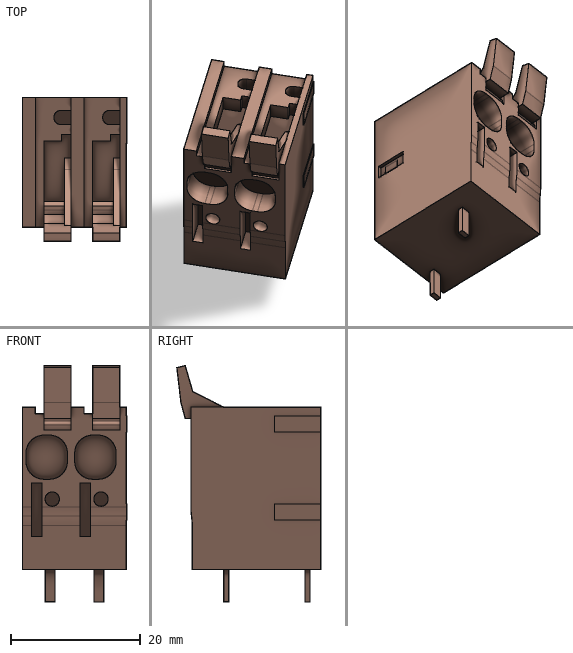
import cadquery as cq
import math


pole_count = 2
pole_pitch = 7.5
housing_width = 16.0
housing_depth = 20.0
housing_height = 25.0

setback = 0.2
step_top = 9.65
step_bottom = 6.8

groove_left = 2.0
groove_right = 7.5
groove_floor = 24.0

pocket_left = 3.3
pocket_floor = 21.5
pocket_back = 13.3
notch_left = 6.05
notch_back = 14.25

test_slot_left = 4.85
test_slot_width = 2.2
test_slot_y = 16.9
test_slot_depth = 4.0

opening_depth = 4.0
wire_hole_x = 3.75
wire_hole_z = 17.3
wire_hole_width = 6.4
wire_hole_height = 6.8
wire_hole_corner = 2.8
round_hole_x = 4.6
round_hole_z = 10.85
round_hole_diameter = 2.2
release_slot_left = 1.4
release_slot_width = 1.6
release_slot_bottom = 5.1
release_slot_height = 8.25

recess_depth = 0.5
recess_front = 14.1
recess_length = 5.05
recess_bottom = 12.6
recess_height = 2.4
catch_front = 15.75
catch_length = 2.4
catch_bottom = 13.05
catch_height = 1.5

pad_thickness = 0.13
pad_front = 12.9
pad_height = 2.5
pad_bottoms = (7.6, 21.15)

lever_width = groove_right - pocket_left
lever_top = 31.41
finger_back_y = -0.85
finger_tip = (-2.16, 31.08)
finger_bend = (-1.53, 25.68)
finger_bottom_y = -0.86
finger_bottom = 23.25
knee = (0.55, 26.6)
shoulder = ((2.0, 24.76), (2.65, 24.75), (3.3, 24.7))
heel_y = 3.95
heel_top = 23.6
toe_y = 0.33
toe_foot_y = 0.37
toe_round_bottom = 22.25
toe_radius = 0.74
toe_slope = math.radians(29)
rib_width = 1.0
rib_end_y = 10.65
rib_bend = (8.9, 23.05)
rib_top = (0.3, 27.42)

pin_left = 3.5
pin_width = 1.55
pin_thickness = 0.8
pin_lengths = (4.95, 5.0)
pin_fronts = (5.05, 17.55)


def block(x, y, z, width, depth, height):
    """Box placed by its left, front and bottom faces."""
    return cq.Workplane("XY").box(width, depth, height, centered=False).translate((x, y, z))


def housing_body():
    """Side profile of the housing, extruded across both poles."""
    step_middle = (step_top + step_bottom) / 2
    return (
        cq.Workplane("YZ")
        .moveTo(setback, 0)
        .lineTo(setback, step_bottom)
        .tangentArcPoint((setback / 2, step_middle), relative=False)
        .tangentArcPoint((0, step_top), relative=False)
        .lineTo(0, housing_height)
        .lineTo(housing_depth, housing_height)
        .lineTo(housing_depth, 0)
        .close()
        .extrude(housing_width)
    )


def top_openings():
    """Groove, lever pocket and test slot of the first pole."""
    groove = block(
        groove_left, 0, groove_floor,
        groove_right - groove_left, housing_depth, housing_height - groove_floor,
    )
    pocket_height = housing_height - pocket_floor
    pocket = block(pocket_left, 0, pocket_floor, groove_right - pocket_left, pocket_back, pocket_height)
    notch = block(notch_left, 0, pocket_floor, groove_right - notch_left, notch_back, pocket_height)

    slot_bottom = groove_floor - test_slot_depth
    slot_round_x = test_slot_left + test_slot_width / 2
    slot_straight = block(
        slot_round_x, test_slot_y - test_slot_width / 2, slot_bottom,
        groove_right - slot_round_x, test_slot_width, test_slot_depth,
    )
    slot_round = (
        cq.Workplane("XY", origin=(slot_round_x, test_slot_y, slot_bottom))
        .circle(test_slot_width / 2)
        .extrude(test_slot_depth)
    )
    return groove.union(pocket).union(notch).union(slot_straight).union(slot_round)


def front_openings():
    """Wire hole, round hole and release slot of the first pole, as separate cutters."""
    wire_hole = (
        cq.Workplane("XY")
        .box(wire_hole_width, opening_depth, wire_hole_height, centered=(True, False, True))
        .edges("|Y")
        .fillet(wire_hole_corner)
        .translate((wire_hole_x, 0, wire_hole_z))
    )
    round_hole = (
        cq.Workplane("XZ", origin=(round_hole_x, 0, round_hole_z))
        .circle(round_hole_diameter / 2)
        .extrude(-opening_depth)
    )
    release_slot = block(
        release_slot_left, 0, release_slot_bottom,
        release_slot_width, opening_depth, release_slot_height,
    )
    return wire_hole, round_hole, release_slot


def side_recess():
    """Shallow recess in the left side."""
    return block(0, recess_front, recess_bottom, recess_depth, recess_length, recess_height)


def recess_catch():
    """Wedge on the recess floor, flush at its top and as proud as the pads at its bottom."""
    return (
        cq.Workplane("XZ", origin=(recess_depth, catch_front, catch_bottom))
        .polyline([(0, 0), (-pad_thickness, 0), (0, catch_height)])
        .close()
        .extrude(-catch_length)
    )


def make_housing():
    body = housing_body()
    for pole in range(pole_count):
        shift = (pole * pole_pitch, 0, 0)
        for cutter in (top_openings(), *front_openings()):
            body = body.cut(cutter.translate(shift))
    body = body.cut(side_recess()).union(recess_catch())
    for bottom in pad_bottoms:
        pad = block(
            housing_width, pad_front, bottom, pad_thickness, housing_depth - pad_front, pad_height
        )
        body = body.union(pad)
    return body


def make_lever(pole):
    """Lever filling the width of its pocket, with a thin rib along its right side."""
    sweep = math.pi / 2 - toe_slope
    arc_center_y = toe_y + toe_radius
    arc_middle = (
        arc_center_y - toe_radius * math.cos(sweep / 2),
        toe_round_bottom + toe_radius * math.sin(sweep / 2),
    )
    arc_end = (
        arc_center_y - toe_radius * math.cos(sweep),
        toe_round_bottom + toe_radius * math.sin(sweep),
    )
    slope_end_y = arc_end[0] + (finger_bottom - arc_end[1]) / math.tan(toe_slope)

    side = cq.Workplane("YZ", origin=(pocket_left + pole * pole_pitch, 0, 0))
    arm = (
        side.moveTo(toe_foot_y, pocket_floor)
        .lineTo(toe_y, toe_round_bottom)
        .threePointArc(arc_middle, arc_end)
        .lineTo(slope_end_y, finger_bottom)
        .lineTo(finger_bottom_y, finger_bottom)
        .lineTo(*finger_bend)
        .lineTo(*finger_tip)
        .lineTo(finger_back_y, lever_top)
        .lineTo(*knee)
    )
    for point in shoulder:
        arm = arm.lineTo(*point)
    arm = arm.lineTo(heel_y, heel_top).lineTo(heel_y, pocket_floor).close().extrude(lever_width)

    rib = (
        side.workplane(offset=lever_width - rib_width)
        .moveTo(heel_y, pocket_floor)
        .lineTo(rib_end_y, pocket_floor)
        .lineTo(*rib_bend)
        .lineTo(*rib_top)
        .lineTo(*knee)
        .lineTo(*shoulder[0])
        .close()
        .extrude(rib_width)
    )
    return arm.union(rib)


def make_pin(pole):
    """Flat pin hanging from the underside; the two poles have their pins staggered front to back."""
    return block(
        pin_left + pole * pole_pitch, pin_fronts[pole], -pin_lengths[pole],
        pin_width, pin_thickness, pin_lengths[pole],
    )


housing = make_housing()
levers = [make_lever(pole) for pole in range(pole_count)]
pins = [make_pin(pole) for pole in range(pole_count)]

result = cq.Compound.makeCompound(
    [housing.val(), *[lever.val() for lever in levers], *[pin.val() for pin in pins]]
)